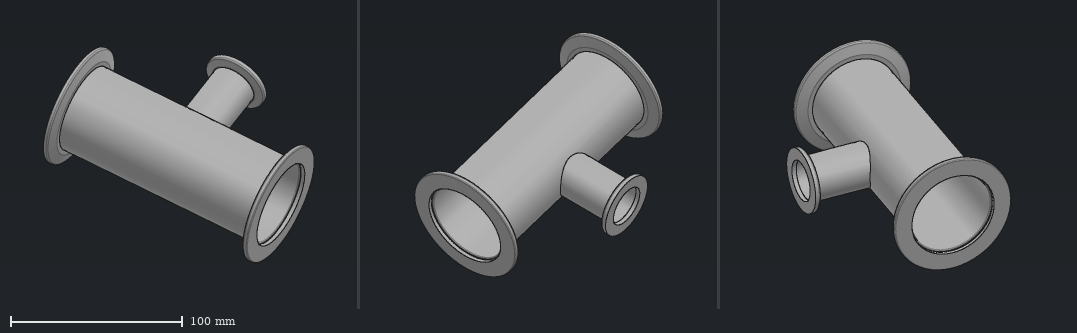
import cadquery as cq
import math

RUN_LENGTH = 140.0
BRANCH_REACH = 65.0
WALL = 1.5

RUN_RADIUS = 27.0
RUN_BORE_RADIUS = RUN_RADIUS - WALL
RUN_FLANGE_RADIUS = 37.5
RUN_FLANGE_THICKNESS = 5.0
RUN_HUB_RADIUS = 30.0
RUN_FLANGE_BORE_RADIUS = 26.5
RUN_FACE_ROUND = 0.5
RUN_MOUTH_ROUND = 0.5

BRANCH_RADIUS = 14.0
BRANCH_BORE_RADIUS = BRANCH_RADIUS - WALL
BRANCH_FLANGE_RADIUS = 20.0
BRANCH_FLANGE_THICKNESS = 4.6
BRANCH_HUB_RADIUS = 14.5

CLAMP_ANGLE = 15.0
RIM_ROUND = 1.0
TUBE_STOP = 2.8


def cylinder(radius, length):
    """Cylinder standing on the XY plane."""
    return cq.Workplane("XY").circle(radius).extrude(length)


def along_x(body):
    """Turn a body built along +Z so that it points along +X."""
    return body.rotate((0, 0, 0), (0, 1, 0), 90)


def along_y(body):
    """Turn a body built along +Z so that it points along +Y."""
    return body.rotate((0, 0, 0), (1, 0, 0), -90)


def clamp_flange(radius, thickness, hub_radius, bore_radius, tube_radius, face_round=0):
    """Clamp flange with its sealing face on Z = 0 and a tube socket in its back."""
    rim_height = thickness - (radius - hub_radius) * math.tan(math.radians(CLAMP_ANGLE))
    flange = (
        cq.Workplane("XZ")
        .polyline([(0, 0), (radius, 0), (radius, rim_height), (hub_radius, thickness), (0, thickness)])
        .close()
        .revolve(360, (0, 0), (0, 1))
    )
    rim_edge = cq.selectors.NearestToPointSelector((0, 0, rim_height))
    flange = flange.edges("%CIRCLE").edges(rim_edge).fillet(RIM_ROUND)
    if face_round:
        flange = flange.faces("<Z").edges().fillet(face_round)
    socket = cylinder(tube_radius, thickness).translate((0, 0, TUBE_STOP))
    return flange.cut(cylinder(bore_radius, thickness)).cut(socket)


def tee_tube():
    """Run and branch tubes joined as one hollow tee."""
    run_length = RUN_LENGTH - 2 * TUBE_STOP
    run_start = (-run_length / 2, 0, 0)
    branch_length = BRANCH_REACH - TUBE_STOP
    run = along_x(cylinder(RUN_RADIUS, run_length)).translate(run_start)
    run_bore = along_x(cylinder(RUN_BORE_RADIUS, run_length)).translate(run_start)
    branch = along_y(cylinder(BRANCH_RADIUS, branch_length))
    branch_bore = along_y(cylinder(BRANCH_BORE_RADIUS, branch_length))
    tee = run.union(branch).cut(run_bore).cut(branch_bore)
    mouth_edges = cq.selectors.RadiusNthSelector(0)
    return tee.faces("<X or >X").edges(mouth_edges).fillet(RUN_MOUTH_ROUND)


def run_flange(turn):
    """Flange on one end of the run, turned about Z from the -X end."""
    flange = clamp_flange(
        RUN_FLANGE_RADIUS,
        RUN_FLANGE_THICKNESS,
        RUN_HUB_RADIUS,
        RUN_FLANGE_BORE_RADIUS,
        RUN_RADIUS,
        RUN_FACE_ROUND,
    )
    return along_x(flange).translate((-RUN_LENGTH / 2, 0, 0)).rotate((0, 0, 0), (0, 0, 1), turn)


def branch_flange():
    """Flange on the end of the branch, sealing face toward +Y."""
    flange = clamp_flange(
        BRANCH_FLANGE_RADIUS,
        BRANCH_FLANGE_THICKNESS,
        BRANCH_HUB_RADIUS,
        BRANCH_BORE_RADIUS,
        BRANCH_RADIUS,
    )
    facing_in = along_y(flange).rotate((0, 0, 0), (0, 0, 1), 180)
    return facing_in.translate((0, BRANCH_REACH, 0))


tee = tee_tube()
run_flanges = [run_flange(turn) for turn in (0, 180)]
end_flange = branch_flange()

result = cq.Compound.makeCompound([
    tee.val(),
    *[flange.val() for flange in run_flanges],
    end_flange.val(),
])